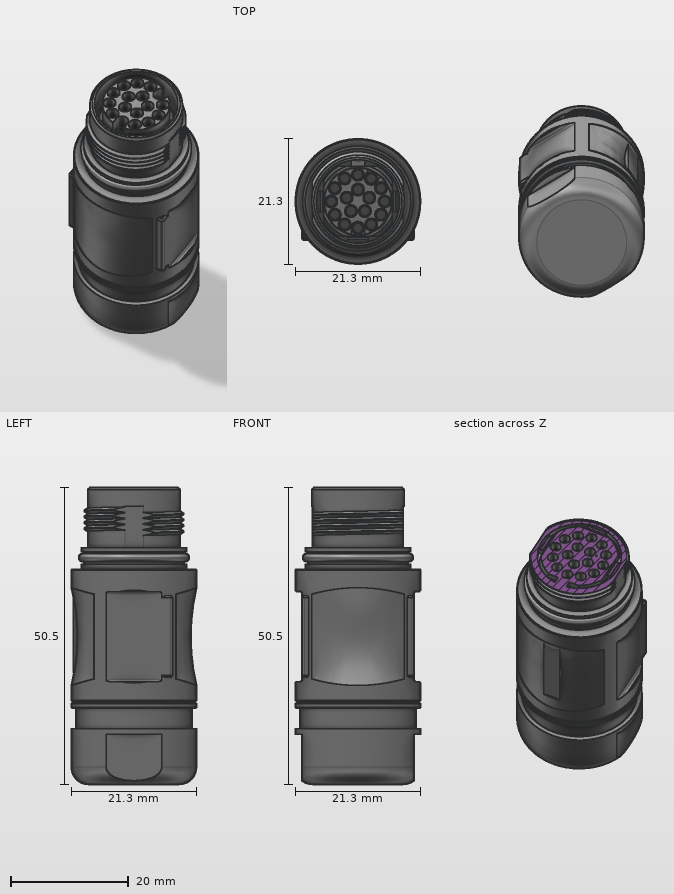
import cadquery as cq
import math

TOTAL_HEIGHT = 50.5
BODY_RADIUS = 10.65
CAP_TOP = 9.5
CAP_ROUND = 3.0
REAR_NECK_RADIUS = 9.88
RING_BOTTOM = 13.0
RING_TOP = 13.9
RING_GROOVE_RADIUS = 10.45
BODY_BOTTOM = 14.15
BODY_TOP = 36.6
EDGE_BREAK = 0.15
COLLAR_RADIUS = 8.96
SEAL_GROOVE_RADIUS = 8.53
SEAL_GROOVE_BOTTOM = 37.4
SEAL_GROOVE_TOP = 39.6
COLLAR_TOP = 40.27
NECK_RADIUS = 7.89
NECK_CHAMFER = 0.4

SEAL_SECTION_RADIUS = 0.7
SEAL_OUTER_RADIUS = 9.41
SEAL_HEIGHT = 38.57

FLAT_X = 9.54
CAP_FLAT_TOP = 8.52
GRIP_MIDDLE = 25.15
FLAT_POCKET_HEIGHT = 15.3
POCKET_CORNER_RADIUS = 0.3
POCKET_FLARE = 0.25
LUG_HEIGHT = 13.9
LUG_INNER_X = 7.9
LUG_INNER_Y = -4.0
LUG_OUTER_Y = -6.58
LUG_ROUND = 0.45
LUG_END_CHAMFER = 0.35

FRONT_SCALLOP_HALF_WIDTH = 7.85
BACK_SCALLOP_HALF_WIDTH = 8.2
SCALLOP_HALF_HEIGHT = 8.3
SCALLOP_SIDE_HALF_HEIGHT = 7.2
SCALLOP_DEPTH = 0.95
SCALLOP_EDGE_INSET = 0.07
SCALLOP_OUTER_Y = 13.0
SCALLOP_STATIONS = 7
BACK_RIB_WIDTH = 3.0
BACK_RIB_FACE_Y = 10.35
BACK_RIB_BOTTOM = 19.1
BACK_RIB_TOP = 33.0

THREAD_PITCH = 1.0
THREAD_TURNS = 4
THREAD_START = 42.75
THREAD_CREST_RADIUS = 8.46
THREAD_ROOT_HALF_WIDTH = 0.485
THREAD_CREST_HALF_WIDTH = 0.08
THREAD_SINK = 0.04
NECK_FLAT_X = 7.73
NECK_FLAT_TOP = 47.27

BORE_RADIUS = 7.1
INSERT_RADIUS = 5.72
SOCKET_DEPTH = 6.0
SHOULDER_HEIGHT = 2.0
SHOULDER_TOP_RADIUS = 6.3
SHOULDER_BASE_RADIUS = 6.85
SHOULDER_HALF_WIDTH = 5.85
SHOULDER_HALF_LENGTH = 5.95
LATCH_WIDTH = 3.5
LATCH_INNER_RADIUS = 6.1
LATCH_TOP_RADIUS = 6.4
LATCH_OUTER_RADIUS = 7.0
LATCH_HEIGHT = 2.0
LATCH_ANGLES = (0, 180, 270)
KEY_WIDTH = 2.25
KEY_INNER_Y = 5.95
KEY_DROP = 2.0

CONTACT_RADIUS = 1.05
CONTACT_MOUTH_DEPTH = 4.0
CONTACT_BORE_RADIUS = 0.85
CONTACT_DEPTH = 8.0
OUTER_CONTACTS = 12
OUTER_CIRCLE_RADIUS = 4.53
INNER_CONTACTS = 5
INNER_CIRCLE_RADIUS = 2.02
KEYWAY_RADIUS = 1.13
KEYWAY_DEPTH = 3.0
KEYWAY_ANGLES = (60, 270)


def box(x_min, x_max, y_min, y_max, z_min, z_max):
    """Axis-aligned block between two corners."""
    block = cq.Workplane("XY").box(x_max - x_min, y_max - y_min, z_max - z_min, centered=False)
    return block.translate((x_min, y_min, z_min))


def cylinder(radius, z_min, z_max):
    """Upright cylinder on the main axis."""
    return cq.Workplane("XY").workplane(offset=z_min).circle(radius).extrude(z_max - z_min)


def mirrored_pair(shape, plane):
    """A shape together with its mirror image."""
    return shape.union(shape.mirror(plane))


def turned_body():
    """Cap, rear neck, ring, grip body, collars and front neck in one revolution."""
    round_middle = CAP_ROUND * (1 - math.sqrt(0.5))
    profile = (
        cq.Workplane("XZ")
        .lineTo(BODY_RADIUS - CAP_ROUND, 0)
        .threePointArc((BODY_RADIUS - round_middle, round_middle), (BODY_RADIUS, CAP_ROUND))
        .lineTo(BODY_RADIUS, CAP_TOP)
        .lineTo(REAR_NECK_RADIUS, CAP_TOP)
        .lineTo(REAR_NECK_RADIUS, RING_BOTTOM)
        .lineTo(BODY_RADIUS - EDGE_BREAK, RING_BOTTOM)
        .lineTo(BODY_RADIUS, RING_BOTTOM + EDGE_BREAK)
        .lineTo(BODY_RADIUS, RING_TOP - EDGE_BREAK)
        .lineTo(RING_GROOVE_RADIUS, RING_TOP)
        .lineTo(RING_GROOVE_RADIUS, BODY_BOTTOM)
        .lineTo(BODY_RADIUS, BODY_BOTTOM + EDGE_BREAK)
        .lineTo(BODY_RADIUS, BODY_TOP - EDGE_BREAK)
        .lineTo(BODY_RADIUS - EDGE_BREAK, BODY_TOP)
        .lineTo(COLLAR_RADIUS, BODY_TOP)
        .lineTo(COLLAR_RADIUS, SEAL_GROOVE_BOTTOM)
        .lineTo(SEAL_GROOVE_RADIUS, SEAL_GROOVE_BOTTOM)
        .lineTo(SEAL_GROOVE_RADIUS, SEAL_GROOVE_TOP)
        .lineTo(COLLAR_RADIUS, SEAL_GROOVE_TOP)
        .lineTo(COLLAR_RADIUS, COLLAR_TOP)
        .lineTo(NECK_RADIUS, COLLAR_TOP)
        .lineTo(NECK_RADIUS, TOTAL_HEIGHT - NECK_CHAMFER)
        .lineTo(NECK_RADIUS - NECK_CHAMFER, TOTAL_HEIGHT)
        .lineTo(0, TOTAL_HEIGHT)
        .close()
    )
    return profile.revolve(360, (0, 0, 0), (0, 1, 0))


def sealing_ring():
    """O-ring standing proud of the groove."""
    center_radius = SEAL_OUTER_RADIUS - SEAL_SECTION_RADIUS
    section = cq.Workplane("XZ").center(center_radius, SEAL_HEIGHT).circle(SEAL_SECTION_RADIUS)
    return section.revolve(360, (-center_radius, 0, 0), (-center_radius, 1, 0))


def cap_flats():
    """Material removed to leave two wrench flats on the cap."""
    side = box(FLAT_X, BODY_RADIUS + 1, -BODY_RADIUS, BODY_RADIUS, 0, CAP_FLAT_TOP)
    return mirrored_pair(side, "YZ")


def side_pockets():
    """Flat-bottomed pockets on both X sides, rounded at the floor and flared at the rim."""
    half = FLAT_POCKET_HEIGHT / 2
    floor_half = half - POCKET_CORNER_RADIUS
    corner = POCKET_CORNER_RADIUS * (1 - math.sqrt(0.5))
    wall_x = FLAT_X + POCKET_CORNER_RADIUS
    flare_x = BODY_RADIUS - POCKET_FLARE
    rim_x = BODY_RADIUS + POCKET_FLARE
    rim_half = half + 2 * POCKET_FLARE
    pocket = (
        cq.Workplane("XZ")
        .moveTo(FLAT_X, -floor_half)
        .lineTo(FLAT_X, floor_half)
        .threePointArc((FLAT_X + corner, half - corner), (wall_x, half))
        .lineTo(flare_x, half)
        .lineTo(rim_x, rim_half)
        .lineTo(rim_x, -rim_half)
        .lineTo(flare_x, -half)
        .lineTo(wall_x, -half)
        .threePointArc((FLAT_X + corner, corner - half), (FLAT_X, -floor_half))
        .close()
        .extrude(BODY_RADIUS, both=True)
        .translate((0, 0, GRIP_MIDDLE))
    )
    return mirrored_pair(pocket, "YZ")


def side_lugs():
    """Upright lugs that carry the side flats past the round body toward -Y."""
    bottom = GRIP_MIDDLE - LUG_HEIGHT / 2
    lug = box(LUG_INNER_X, FLAT_X, LUG_OUTER_Y, LUG_INNER_Y, bottom, bottom + LUG_HEIGHT)
    lug = lug.edges("|Z and >X and <Y").fillet(LUG_ROUND)
    lug = lug.faces("<Z or >Z").edges(">X").chamfer(LUG_END_CHAMFER)
    return mirrored_pair(lug, "YZ")


def scallop(half_width):
    """Cutter for a thumb grip at -Y: arcs across, dished along the height, with bowed ends."""
    edge_y = math.sqrt(BODY_RADIUS**2 - half_width**2) - SCALLOP_EDGE_INSET
    sections = []
    for station in range(SCALLOP_STATIONS):
        along = 2 * station / (SCALLOP_STATIONS - 1) - 1
        z = GRIP_MIDDLE + along * SCALLOP_HALF_HEIGHT
        middle_y = BODY_RADIUS - SCALLOP_DEPTH * (1 - along**2)
        left = cq.Vector(-half_width, -edge_y, z)
        right = cq.Vector(half_width, -edge_y, z)
        left_out = cq.Vector(-half_width, -SCALLOP_OUTER_Y, z)
        right_out = cq.Vector(half_width, -SCALLOP_OUTER_Y, z)
        edges = [
            cq.Edge.makeThreePointArc(left, cq.Vector(0, -middle_y, z), right),
            cq.Edge.makeLine(right, right_out),
            cq.Edge.makeLine(right_out, left_out),
            cq.Edge.makeLine(left_out, left),
        ]
        sections.append(cq.Wire.assembleEdges(edges))
    outline = (
        cq.Workplane("XZ")
        .moveTo(-half_width, -SCALLOP_SIDE_HALF_HEIGHT)
        .threePointArc((0, -SCALLOP_HALF_HEIGHT), (half_width, -SCALLOP_SIDE_HALF_HEIGHT))
        .lineTo(half_width, SCALLOP_SIDE_HALF_HEIGHT)
        .threePointArc((0, SCALLOP_HALF_HEIGHT), (-half_width, SCALLOP_SIDE_HALF_HEIGHT))
        .close()
        .extrude(SCALLOP_OUTER_Y)
        .translate((0, 0, GRIP_MIDDLE))
    )
    return cq.Workplane(cq.Solid.makeLoft(sections)).intersect(outline)


def back_rib():
    """Upright rib left standing in the thumb grip at +Y."""
    half_width = BACK_RIB_WIDTH / 2
    return box(-half_width, half_width, 0, BACK_RIB_FACE_Y, BACK_RIB_BOTTOM, BACK_RIB_TOP)


def thread():
    """Right-handed ridge; both ends fall inside the neck flat at -X."""
    path = cq.Wire.makeHelix(THREAD_PITCH, THREAD_PITCH * THREAD_TURNS, NECK_RADIUS)
    inner_radius = NECK_RADIUS - THREAD_SINK
    ridge = (
        cq.Workplane("XZ")
        .moveTo(inner_radius, -THREAD_ROOT_HALF_WIDTH)
        .lineTo(THREAD_CREST_RADIUS, -THREAD_CREST_HALF_WIDTH)
        .lineTo(THREAD_CREST_RADIUS, THREAD_CREST_HALF_WIDTH)
        .lineTo(inner_radius, THREAD_ROOT_HALF_WIDTH)
        .close()
        .sweep(cq.Workplane(path), isFrenet=True)
    )
    return ridge.rotate((0, 0, 0), (0, 0, 1), 180).translate((0, 0, THREAD_START))


def neck_flats():
    """Material removed to flatten the threaded neck at both X sides."""
    side = box(NECK_FLAT_X, BODY_RADIUS, -BODY_RADIUS, BODY_RADIUS, COLLAR_TOP, NECK_FLAT_TOP)
    return mirrored_pair(side, "YZ")


def socket_shoulder():
    """Conical shoulder at the foot of the insert, clipped to a rectangle."""
    floor = TOTAL_HEIGHT - SOCKET_DEPTH
    cone = (
        cq.Workplane("XY")
        .workplane(offset=floor)
        .circle(SHOULDER_BASE_RADIUS)
        .workplane(offset=SHOULDER_HEIGHT)
        .circle(SHOULDER_TOP_RADIUS)
        .loft()
    )
    limit = box(
        -SHOULDER_HALF_WIDTH,
        SHOULDER_HALF_WIDTH,
        -SHOULDER_HALF_LENGTH,
        SHOULDER_HALF_LENGTH,
        floor,
        floor + SHOULDER_HEIGHT,
    )
    return cone.intersect(limit)


def latch(angle):
    """Ramped latch on the socket floor, falling away from the insert."""
    wedge = (
        cq.Workplane("XZ")
        .moveTo(LATCH_INNER_RADIUS, 0)
        .lineTo(LATCH_OUTER_RADIUS, 0)
        .lineTo(LATCH_TOP_RADIUS, LATCH_HEIGHT)
        .lineTo(LATCH_INNER_RADIUS, LATCH_HEIGHT)
        .close()
        .extrude(LATCH_WIDTH / 2, both=True)
        .translate((0, 0, TOTAL_HEIGHT - SOCKET_DEPTH))
    )
    return wedge.rotate((0, 0, 0), (0, 0, 1), angle)


def socket():
    """Ring-shaped space around the insert, less the features standing in it."""
    floor = TOTAL_HEIGHT - SOCKET_DEPTH
    space = cylinder(BORE_RADIUS, floor, TOTAL_HEIGHT)
    space = space.cut(cylinder(INSERT_RADIUS, floor, TOTAL_HEIGHT))
    space = space.cut(socket_shoulder())
    for angle in LATCH_ANGLES:
        space = space.cut(latch(angle))
    key_half = KEY_WIDTH / 2
    key = box(-key_half, key_half, KEY_INNER_Y, BORE_RADIUS, floor, TOTAL_HEIGHT - KEY_DROP)
    return space.cut(key)


def contact_holes():
    """Stepped blind holes on two circles, both starting from +Y."""
    points = []
    for count, radius in ((OUTER_CONTACTS, OUTER_CIRCLE_RADIUS), (INNER_CONTACTS, INNER_CIRCLE_RADIUS)):
        for index in range(count):
            angle = math.radians(90 + 360 * index / count)
            points.append((radius * math.cos(angle), radius * math.sin(angle)))
    face = cq.Workplane("XY").workplane(offset=TOTAL_HEIGHT).pushPoints(points)
    mouths = face.circle(CONTACT_RADIUS).extrude(-CONTACT_MOUTH_DEPTH)
    bores = face.circle(CONTACT_BORE_RADIUS).extrude(-CONTACT_DEPTH)
    return mouths.union(bores)


def keyway(angle):
    """Slot from an outer contact hole out through the side of the insert."""
    run = INSERT_RADIUS - OUTER_CIRCLE_RADIUS
    bottom = TOTAL_HEIGHT - KEYWAY_DEPTH
    round_end = cylinder(KEYWAY_RADIUS, bottom, TOTAL_HEIGHT)
    slot = round_end.union(box(0, run, -KEYWAY_RADIUS, KEYWAY_RADIUS, bottom, TOTAL_HEIGHT))
    return slot.translate((OUTER_CIRCLE_RADIUS, 0, 0)).rotate((0, 0, 0), (0, 0, 1), angle)


part = turned_body()
part = part.cut(cap_flats())
part = part.cut(scallop(FRONT_SCALLOP_HALF_WIDTH))
part = part.cut(scallop(BACK_SCALLOP_HALF_WIDTH).mirror("XZ"))
part = part.union(back_rib())
part = part.cut(side_pockets())
part = part.union(side_lugs())
part = part.union(sealing_ring())
part = part.cut(neck_flats())
part = part.union(thread().cut(neck_flats()))
part = part.cut(socket())
part = part.cut(contact_holes())
for keyway_angle in KEYWAY_ANGLES:
    part = part.cut(keyway(keyway_angle))

result = part